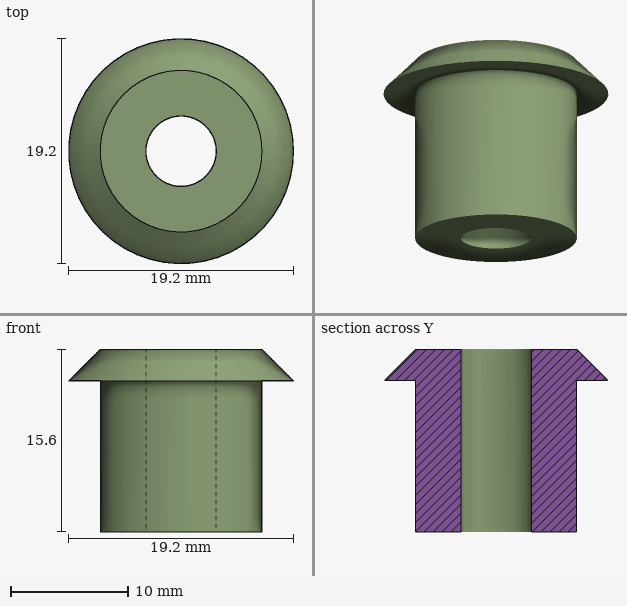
import cadquery as cq

head_diameter = 19.2
shank_diameter = 13.8
bore_diameter = 6.0
total_height = 15.6

head_height = (head_diameter - shank_diameter) / 2
shank_height = total_height - head_height

shank = cq.Workplane("XY").circle(shank_diameter / 2).extrude(shank_height)

head = (
    cq.Workplane("XY")
    .workplane(offset=shank_height)
    .circle(head_diameter / 2)
    .extrude(head_height, taper=45)
)

bore = cq.Workplane("XY").circle(bore_diameter / 2).extrude(total_height)

result = shank.union(head).cut(bore)